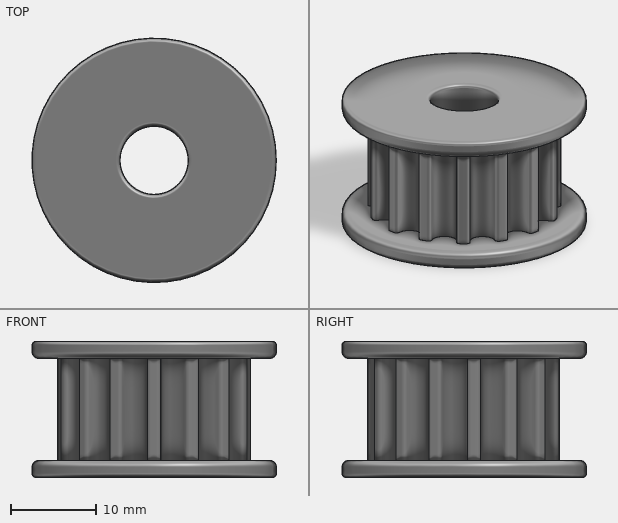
import cadquery as cq

flange_diameter = 28.73
total_height = 16.0
flange_thickness = 2.0
outer_face_rounding = 0.5
inner_face_rounding = 0.8

bore_diameter = 8.0
bore_mouth_rounding = 0.5

tooth_count = 15
tooth_tip_diameter = 22.73
groove_depth = 2.07
groove_radius = 1.5
tooth_tip_rounding = 0.43
first_tooth_angle = -90.0

drum_height = total_height - 2 * flange_thickness
tooth_pitch_angle = 360.0 / tooth_count
first_groove_angle = first_tooth_angle + tooth_pitch_angle / 2
groove_center_distance = tooth_tip_diameter / 2 - groove_depth + groove_radius


def make_toothed_drum():
    """Drum with round-bottomed belt grooves and rounded tooth tips."""
    drum = cq.Workplane("XY").circle(tooth_tip_diameter / 2).extrude(drum_height / 2, both=True)
    grooves = (
        cq.Workplane("XY")
        .polarArray(groove_center_distance, first_groove_angle, 360, tooth_count)
        .circle(groove_radius)
        .extrude(drum_height / 2, both=True)
    )
    return drum.cut(grooves).edges("|Z").fillet(tooth_tip_rounding)


def make_top_flange():
    """Disc above the drum, rounded more towards the belt than on the outside."""
    return (
        cq.Workplane("XY")
        .workplane(offset=drum_height / 2)
        .circle(flange_diameter / 2)
        .extrude(flange_thickness)
        .faces(">Z").edges().fillet(outer_face_rounding)
        .faces("<Z").edges().fillet(inner_face_rounding)
    )


def cut_bore(body):
    """Through bore with both mouths rounded over."""
    bored = body.faces(">Z").workplane(origin=(0, 0, 0)).circle(bore_diameter / 2).cutThruAll()
    bore_mouths = bored.faces("<Z or >Z").edges(cq.selectors.RadiusNthSelector(0))
    return bore_mouths.fillet(bore_mouth_rounding)


top_flange = make_top_flange()
bottom_flange = top_flange.mirror("XY")
pulley_blank = make_toothed_drum().union(top_flange).union(bottom_flange)
result = cut_bore(pulley_blank)